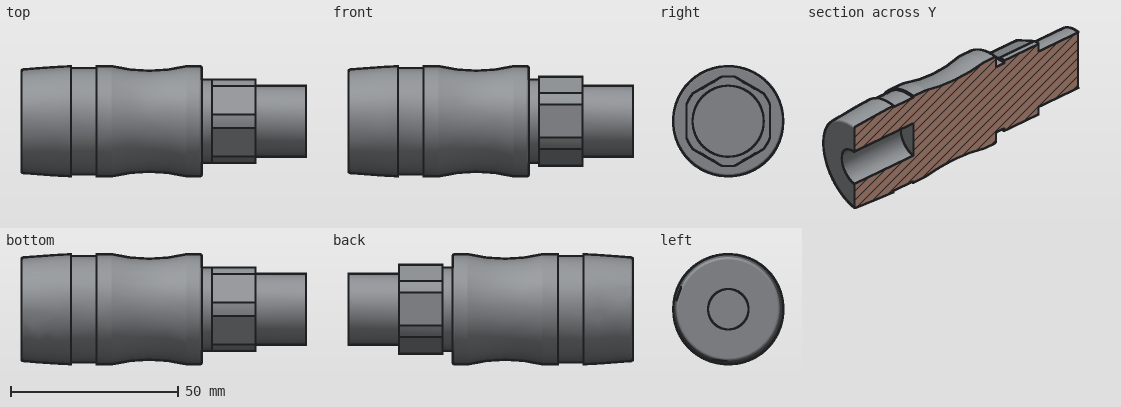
import cadquery as cq

length = 85.0
nose_end = 14.9
groove_end = 22.35
grip_start = 26.95
grip_end = 49.4
sleeve_end = 53.9
hex_start = 56.9
hex_end = 69.95

nose_radius = 15.5
nose_middle_radius = 16.1
sleeve_radius = 16.5
groove_radius = 16.0
waist_radius = 15.1
neck_radius = 12.5
tail_radius = 10.6

hex_across_flats = 2 * neck_radius
hex_corner_radius = 13.4

edge_round = 0.8
bore_radius = 6.0
bore_depth = groove_end


def turned_body():
    """Revolve the sleeve, neck and tail as one solid about the X axis."""
    waist = ((grip_start + grip_end) / 2, waist_radius)
    nose_middle = (nose_end / 2, nose_middle_radius)
    profile = (
        cq.Workplane("XY")
        .moveTo(0, 0)
        .lineTo(0, nose_radius)
        .threePointArc(nose_middle, (nose_end, sleeve_radius))
        .lineTo(nose_end, groove_radius)
        .lineTo(groove_end, groove_radius)
        .lineTo(groove_end, sleeve_radius)
        .lineTo(grip_start, sleeve_radius)
        .threePointArc(waist, (grip_end, sleeve_radius))
        .lineTo(sleeve_end, sleeve_radius)
        .lineTo(sleeve_end, neck_radius)
        .lineTo(hex_end, neck_radius)
        .lineTo(hex_end, tail_radius)
        .lineTo(length, tail_radius)
        .lineTo(length, 0)
        .close()
    )
    return profile.revolve(360, (0, 0, 0), (1, 0, 0))


def round_sleeve_ends(body):
    """Round the outer rims of the socket face and of the sleeve's rear face."""
    for x, radius in ((0, nose_radius), (sleeve_end, sleeve_radius)):
        reach = radius + edge_round
        rim = cq.selectors.BoxSelector(
            (x - edge_round / 2, -reach, -reach),
            (x + edge_round / 2, reach, reach),
            boundingbox=True,
        )
        body = body.edges(rim).edges(cq.selectors.RadiusNthSelector(-1)).fillet(edge_round)
    return body


def wrench_hex():
    """Hexagon with flats facing +Y and -Y and rounded corners."""
    plane = cq.Workplane("YZ", origin=(hex_start, 0, 0))
    width = hex_end - hex_start
    hexagon = plane.polygon(6, hex_across_flats, circumscribed=True).extrude(width)
    return hexagon.intersect(plane.circle(hex_corner_radius).extrude(width))


def socket_bore():
    """Blind bore entering from the socket face."""
    return cq.Workplane("YZ").circle(bore_radius).extrude(bore_depth)


result = round_sleeve_ends(turned_body()).union(wrench_hex()).cut(socket_bore())